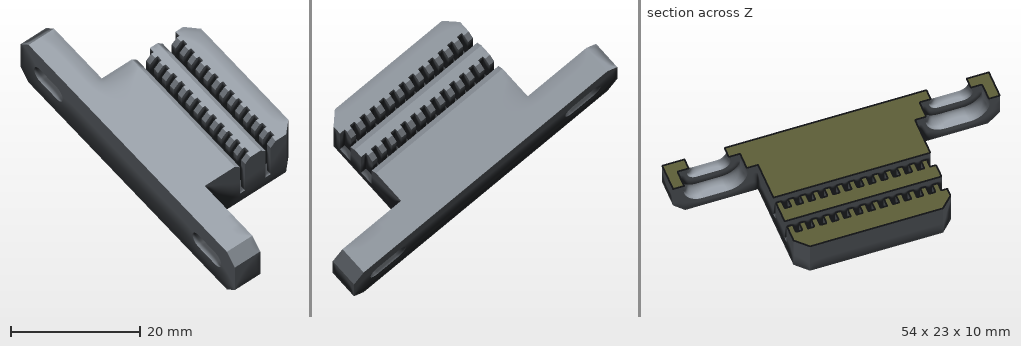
import cadquery as cq

plate_length = 54.0
plate_thickness = 5.0
height = 10.0
corner_chamfer = 2.0

slot_spacing = 39.95
slot_travel = 4.1
slot_width = 3.15
recess_width = 6.5
recess_start_y = 2.0

total_depth = 23.0
block_width = 26.0

tooth_count = 13
tooth_pitch = block_width / tooth_count
tooth_gap = tooth_pitch / 2
tooth_depth = 1.5
channel_gap = tooth_pitch / 2
channel_floor = 2.0
lead_in = tooth_pitch / 2
channel_count = 2
channel_spacing = 5.0
rear_wall_thickness = 5.0


def make_slots(width, start_y):
    """Pair of horizontal slots running from start_y to the rear face of the plate."""
    return (
        cq.Workplane("XZ", origin=(0, start_y, height / 2))
        .pushPoints([(-slot_spacing / 2, 0), (slot_spacing / 2, 0)])
        .slot2D(slot_travel + width, width)
        .extrude(start_y - plate_thickness)
    )


def make_plate():
    """Upright plate with chamfered corners and counterbored slots, front face at Y = 0."""
    plate = (
        cq.Workplane("XY")
        .box(plate_length, plate_thickness, height, centered=(True, False, False))
        .edges("|Y")
        .chamfer(corner_chamfer)
    )
    return plate.cut(make_slots(slot_width, 0)).cut(make_slots(recess_width, recess_start_y))


def make_block():
    """Full-height block through the middle of the plate, with chamfered rear corners."""
    return (
        cq.Workplane("XY")
        .box(block_width, total_depth, height, centered=(True, False, False))
        .edges("|Z and >Y")
        .chamfer(corner_chamfer)
    )


def make_channel(tooth_tip_y):
    """Cutter for a narrow channel with a flared mouth and tooth gaps in its rear wall."""
    front_y = tooth_tip_y - channel_gap
    flare_z = height - lead_in
    channel = (
        cq.Workplane("YZ", origin=(-block_width / 2, 0, 0))
        .moveTo(front_y, channel_floor)
        .lineTo(tooth_tip_y, channel_floor)
        .lineTo(tooth_tip_y, flare_z)
        .lineTo(tooth_tip_y + lead_in, height)
        .lineTo(front_y - lead_in, height)
        .lineTo(front_y, flare_z)
        .close()
        .extrude(block_width)
    )
    for index in range(tooth_count):
        gap_start_x = -block_width / 2 + index * tooth_pitch
        gap = cq.Workplane("XY", origin=(gap_start_x, front_y, channel_floor)).box(
            tooth_gap, channel_gap + tooth_depth, height - channel_floor, centered=False
        )
        channel = channel.union(gap)
    return channel


result = make_plate().union(make_block())
for channel_index in range(channel_count):
    tooth_tip = total_depth - rear_wall_thickness - channel_index * channel_spacing
    result = result.cut(make_channel(tooth_tip))